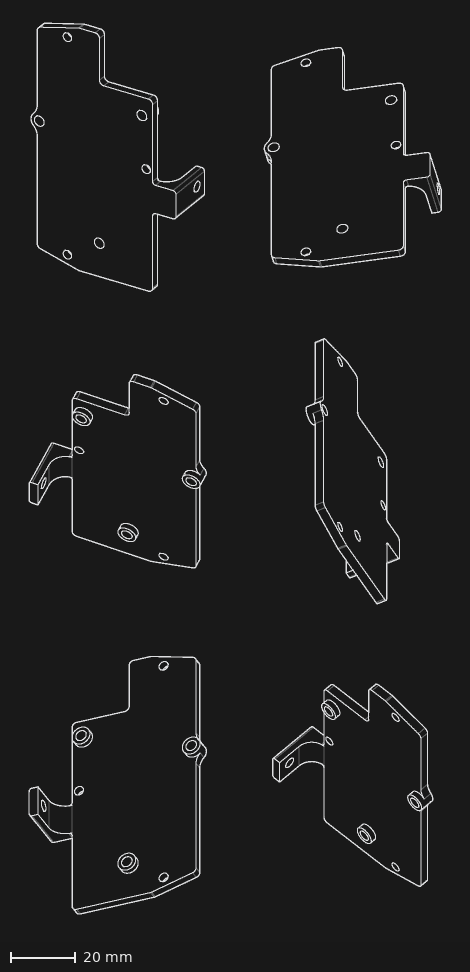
import cadquery as cq
import math

height = 85.6
thickness = 3.0
plate_width = 41.5
upper_width = 22.4
step_z = 67.8
slope_start_x = 15.1
slope_angle = 15
slope_rise = slope_start_x * math.tan(math.radians(slope_angle))
corner_radius = 1.5

boss_diameter = 6.0
boss_top_y = 5.0
boss_hole_diameter = 3.5
lobe_center = (0.8, 48.6)
boss_centers = [lobe_center, (37.7, 61.3), (22.3, 11.8)]
lobe_blend_radius = 5.0

plain_hole_diameter = 3.0
plain_hole_centers = [(10.9, 81.1), (10.9, 4.45), (39.2, 42.8)]

tab_end_x = 49.9
tab_bottom_z = 28.1
tab_width = 10.0
tab_corner_radius = 1.0
leg_length = 17.0
leg_bend_radius = tab_end_x - thickness - plate_width
leg_hole_y = 12.6
leg_hole_z = 33.7
leg_hole_diameter = boss_hole_diameter


def extrude_to_y(sketch, end_y):
    """Extrude an XZ sketch from Y = 0 to end_y."""
    return sketch.extrude(-end_y)


def cylinders(centers, diameter, start_y, end_y):
    """Equal cylinders along Y, one at each (X, Z) center."""
    plane = cq.Workplane("XZ", origin=(0, start_y, 0))
    return plane.pushPoints(centers).circle(diameter / 2).extrude(start_y - end_y)


def make_plate():
    """Stepped plate with sloped left corners and rounded edges."""
    outline = cq.Workplane("XZ").polyline([
        (0, slope_rise),
        (slope_start_x, 0),
        (plate_width, 0),
        (plate_width, step_z),
        (upper_width, step_z),
        (upper_width, height),
        (slope_start_x, height),
        (0, height - slope_rise),
    ]).close()
    return extrude_to_y(outline, thickness).edges("|Y").fillet(corner_radius)


def make_lobe_blends():
    """Concave webs that run tangentially from the left boss into the left edge."""
    center_x, center_z = lobe_center
    radius = boss_diameter / 2
    center_distance = radius + lobe_blend_radius
    blend_offset_x = center_x + lobe_blend_radius
    blend_dz = math.sqrt(center_distance**2 - blend_offset_x**2)

    touch_x = center_x - blend_offset_x * radius / center_distance
    touch_dz = blend_dz * radius / center_distance

    half_angle = math.atan2(blend_dz, blend_offset_x) / 2
    middle_x = -lobe_blend_radius * (1 - math.cos(half_angle))
    middle_dz = blend_dz - lobe_blend_radius * math.sin(half_angle)

    buried_x = center_x + radius
    outline = (
        cq.Workplane("XZ")
        .moveTo(buried_x, center_z - blend_dz)
        .lineTo(0, center_z - blend_dz)
        .threePointArc((middle_x, center_z - middle_dz), (touch_x, center_z - touch_dz))
        .lineTo(center_x, center_z)
        .lineTo(touch_x, center_z + touch_dz)
        .threePointArc((middle_x, center_z + middle_dz), (0, center_z + blend_dz))
        .lineTo(buried_x, center_z + blend_dz)
        .close()
    )
    return extrude_to_y(outline, thickness)


def make_leg():
    """Side tab with its bent-up leg; its left end is buried inside the plate."""
    leg_inner_x = tab_end_x - thickness
    bend_center_y = thickness + leg_bend_radius
    arc_reach = leg_bend_radius * math.sqrt(0.5)
    buried_x = plate_width - thickness
    leg = (
        cq.Workplane("XY", origin=(0, 0, tab_bottom_z))
        .moveTo(buried_x, 0)
        .lineTo(tab_end_x, 0)
        .lineTo(tab_end_x, leg_length)
        .lineTo(leg_inner_x, leg_length)
        .lineTo(leg_inner_x, bend_center_y)
        .threePointArc(
            (plate_width + arc_reach, bend_center_y - arc_reach),
            (plate_width, thickness),
        )
        .lineTo(buried_x, thickness)
        .close()
        .extrude(tab_width)
    )
    return leg.edges("|Y and >X").fillet(tab_corner_radius)


def make_inside_corner(z, direction):
    """Concave fillet between the plate's right edge and the tab; direction is +1 above, -1 below."""
    reach = tab_corner_radius * (1 - math.sqrt(0.5))
    outline = (
        cq.Workplane("XZ")
        .moveTo(plate_width, z)
        .lineTo(plate_width + tab_corner_radius, z)
        .threePointArc(
            (plate_width + reach, z + direction * reach),
            (plate_width, z + direction * tab_corner_radius),
        )
        .close()
    )
    return extrude_to_y(outline, thickness)


def make_leg_hole():
    return (
        cq.Workplane("YZ", origin=(tab_end_x - thickness, 0, 0))
        .center(leg_hole_y, leg_hole_z)
        .circle(leg_hole_diameter / 2)
        .extrude(thickness)
    )


result = (
    make_plate()
    .union(make_lobe_blends())
    .union(make_leg())
    .union(make_inside_corner(tab_bottom_z + tab_width, 1))
    .union(make_inside_corner(tab_bottom_z, -1))
    .union(cylinders(boss_centers, boss_diameter, 0, boss_top_y))
    .cut(cylinders(boss_centers, boss_hole_diameter, 0, boss_top_y))
    .cut(cylinders(plain_hole_centers, plain_hole_diameter, 0, thickness))
    .cut(make_leg_hole())
)